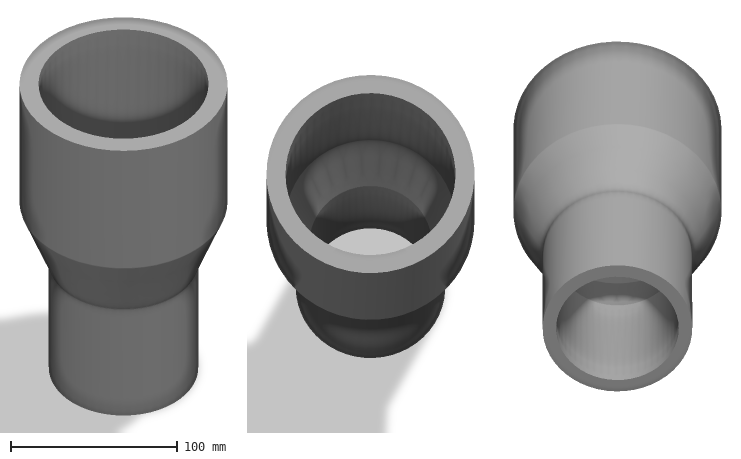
import cadquery as cq

total_height = 222.0
wide_diameter = 125.0
wide_bore = 102.1
wide_length = 92.1
narrow_diameter = 90.0
narrow_bore = 73.7
narrow_length = 83.2
blend_radius = 2.0

taper_top = total_height - wide_length


def stepped_body(lower_diameter, upper_diameter):
    """Solid of revolution: lower cylinder, blended conical taper, upper cylinder."""
    lower_radius = lower_diameter / 2
    upper_radius = upper_diameter / 2
    body = (
        cq.Workplane("XZ")
        .lineTo(lower_radius, 0)
        .lineTo(lower_radius, narrow_length)
        .lineTo(upper_radius, taper_top)
        .lineTo(upper_radius, total_height)
        .lineTo(0, total_height)
        .close()
        .revolve(360, (0, 0, 0), (0, 1, 0))
    )
    taper_ends = body.edges("%CIRCLE").edges("not(<Z or >Z)")
    return taper_ends.fillet(blend_radius)


outer_body = stepped_body(narrow_diameter, wide_diameter)
bore = stepped_body(narrow_bore, wide_bore)

result = outer_body.cut(bore)